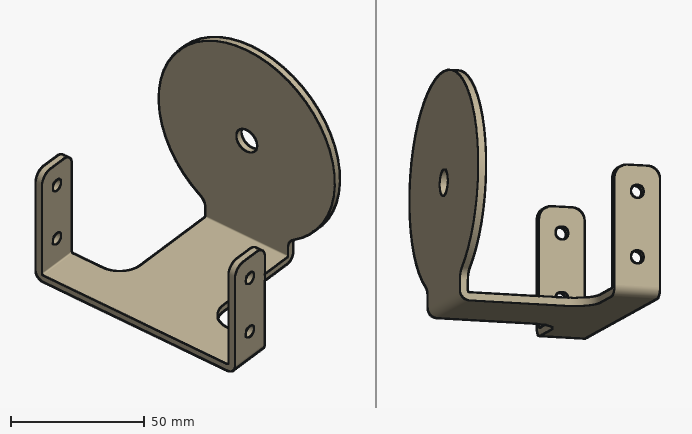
import cadquery as cq
import math

length = 96.2
depth = 70.0
height = 90.7
thickness = 3.2
inner_bend = 0.6
outer_bend = inner_bend + thickness

strip_width = 18.0
web_width = 40.0
web_fillet = 10.0

ear_height = 50.0
ear_corner = 5.0
ear_hole_diameter = 5.0
ear_hole_heights = (15.0, 40.0)

disc_radius = 42.5
disc_center_z = height - disc_radius
disc_hole_diameter = 10.0
neck_fillet = 5.0


front = -depth / 2
back = depth / 2
strip_back = front + strip_width


def box(x0, x1, y0, y1, z0, z1):
    """Axis-aligned block between two opposite corners."""
    return cq.Workplane("XY").box(x1 - x0, y1 - y0, z1 - z0, centered=False).translate((x0, y0, z0))


def make_strip_with_ears():
    """U-shaped strip: flat bottom, rounded bends and two drilled ears."""
    half = length / 2
    outer = box(-half, half, front, strip_back, 0, ear_height)
    outer = outer.edges("|Y and <Z").fillet(outer_bend)
    inner_half = half - thickness
    inner = box(-inner_half, inner_half, front, strip_back, thickness, ear_height)
    inner = inner.edges("|Y and <Z").fillet(inner_bend)
    strip = outer.cut(inner).edges("|X and >Z").fillet(ear_corner)
    hole_y = (front + strip_back) / 2
    drills = (
        cq.Workplane("YZ")
        .pushPoints([(hole_y, z) for z in ear_hole_heights])
        .circle(ear_hole_diameter / 2)
        .extrude(half, both=True)
    )
    return strip.cut(drills)


def make_web():
    """Web bent upward at the back into the neck below the disc."""
    half = web_width / 2
    outer = box(-half, half, front, back, 0, disc_center_z)
    outer = outer.edges("|X and >Y and <Z").fillet(outer_bend)
    inner = box(-half, half, front, back - thickness, thickness, disc_center_z)
    inner = inner.edges("|X and >Y and <Z").fillet(inner_bend)
    return outer.cut(inner)


def make_web_fillet(side):
    """Concave corner between the web and the strip; side is -1 or 1."""
    x0 = side * web_width / 2
    x1 = x0 + side * web_fillet
    y1 = strip_back + web_fillet
    diagonal = web_fillet * (1 - math.sqrt(0.5))
    return (
        cq.Workplane("XY")
        .moveTo(x0, strip_back)
        .lineTo(x1, strip_back)
        .threePointArc((x0 + side * diagonal, strip_back + diagonal), (x0, y1))
        .close()
        .extrude(thickness)
    )


def make_disc():
    """Upright disc, with concave arcs blending it into the neck."""
    half = web_width / 2
    arc_x = half + neck_fillet
    center_distance = disc_radius + neck_fillet
    arc_z = disc_center_z - math.sqrt(center_distance**2 - arc_x**2)
    tangent_x = arc_x * disc_radius / center_distance
    tangent_z = disc_center_z + (arc_z - disc_center_z) * disc_radius / center_distance
    plane = cq.Workplane("XZ", origin=(0, back, 0))
    disc = plane.center(0, disc_center_z).circle(disc_radius).extrude(thickness)
    neck = (
        plane.moveTo(-half, arc_z)
        .lineTo(half, arc_z)
        .radiusArc((tangent_x, tangent_z), neck_fillet)
        .lineTo(-tangent_x, tangent_z)
        .radiusArc((-half, arc_z), neck_fillet)
        .close()
        .extrude(thickness)
    )
    return disc.union(neck)


def make_disc_bore():
    """Cutter for the hole at the disc's center."""
    return (
        cq.Workplane("XZ", origin=(0, back, disc_center_z))
        .circle(disc_hole_diameter / 2)
        .extrude(thickness)
    )


web = make_web().union(make_disc()).cut(make_disc_bore())
result = make_strip_with_ears().union(web)
for side in (-1, 1):
    result = result.union(make_web_fillet(side))
result = result.clean()